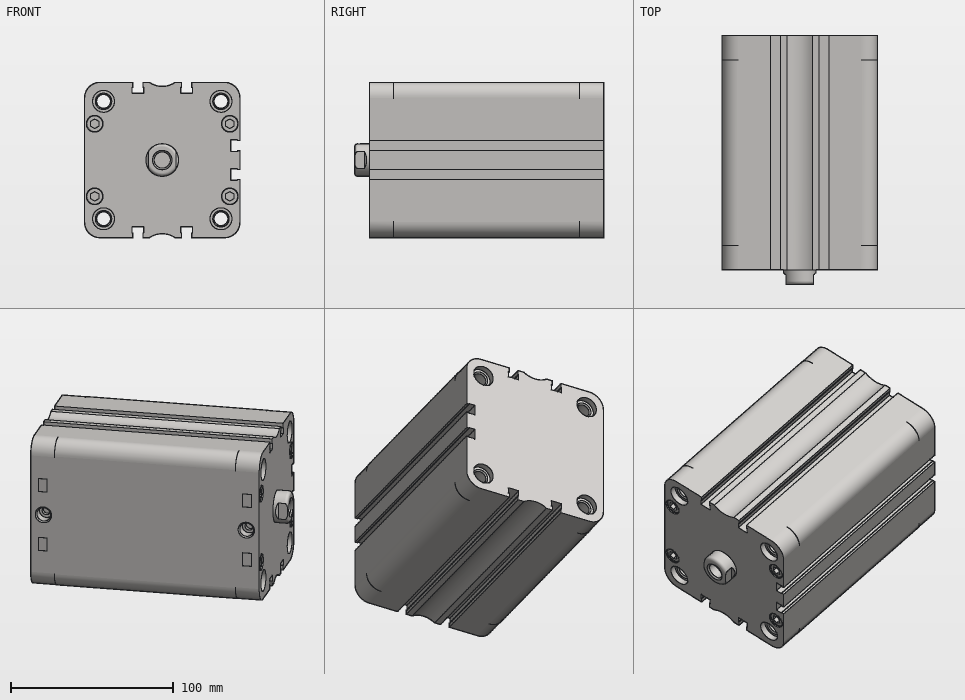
import cadquery as cq
import math


TOTAL_LENGTH = 153
SIDE = 95.5
BODY_LENGTH = 144.0
CAP_LENGTH = 15.0
CAP_CORNER_RADIUS = 10.0
BARREL_CORNER_RADIUS = 9.5
CUT_MARGIN = 1.5

HALF_SIDE = SIDE / 2
FRONT_FACE = TOTAL_LENGTH / 2 - BODY_LENGTH
REAR_FACE = TOTAL_LENGTH / 2
BODY_MIDDLE = (FRONT_FACE + REAR_FACE) / 2

SLOT_NECK_WIDTH = 6.1
SLOT_CHANNEL_WIDTH = 7.0
TOP_SLOT_PITCH = 30.0
TOP_SLOT_DEPTH = 6.7
TOP_SLOT_LIP = 3.0
SIDE_SLOT_PITCH = 17.7
SIDE_SLOT_DEPTH = 5.7
SIDE_SLOT_LIP = 1.7

GROOVE_WIDTH = 15.8
GROOVE_DEPTH = 2.5

MOUNT_PITCH = 72.0
MOUNT_DIAMETER = 8.4
MOUNT_CHAMFER_DIAMETER = 10.1
MOUNT_BORE_DIAMETER = 13.5
MOUNT_BORE_DEPTH = 4.0

SCREW_SPACING_X = 83.0
SCREW_SPACING_Z = 44.5
SCREW_BORE_DIAMETER = 10.3
SCREW_HEAD_DIAMETER = 9.8
SCREW_SINK = 0.8
SCREW_GAP_DEPTH = 1.5
SCREW_HEX_FLATS = 5.0
SCREW_HEX_DEPTH = 3.0

PORT_FROM_END = 8.1
PORT_DIAMETER = 8.5
PORT_RIM_DIAMETER = 10.3
PORT_DEPTH = 7.6
PASSAGE_DIAMETER = 5.0
PASSAGE_DEPTH = 3.0

LABEL_FROM_END = 7.6
LABEL_SPACING_Z = 38.2
LABEL_WIDTH = 5.5
LABEL_HEIGHT = 8.4
LABEL_DEPTH = 0.2

ROD_DIAMETER = 20.0
ROD_TIP_ROUND = 2.0
ROD_HOLE_DIAMETER = 10.0
ROD_HOLE_RIM_DIAMETER = 12.0
ROD_HOLE_DEPTH = 18.4
FLATS_WIDTH = 17.1
FLATS_FROM_BODY = 3.0

ROD_TIP = -TOTAL_LENGTH / 2


def cone_ended_hole(rim_diameter, diameter, depth):
    """Hole along +Z from the origin: a 45 degree rim chamfer, then a plain bore."""
    rim = rim_diameter / 2
    bore = diameter / 2
    profile = [(0, 0), (rim, 0), (bore, rim - bore), (bore, depth), (0, depth)]
    return cq.Workplane("XZ").polyline(profile).close().revolve(360, (0, 0), (0, 1))


def toward_rear(tool, x, y, z):
    """Turn a tool that points along +Z to point along +Y and put it in place."""
    return tool.rotate((0, 0, 0), (1, 0, 0), -90).translate((x, y, z))


def toward_right(tool, y, z):
    """Turn a tool that points along +Z to point along +X, starting at the -X side."""
    return tool.rotate((0, 0, 0), (0, 1, 0), 90).translate((-HALF_SIDE, y, z))


def slot(offset, depth, lip):
    """Full-length T slot in the top face."""
    neck_height = lip + CUT_MARGIN
    neck_middle = HALF_SIDE + CUT_MARGIN - neck_height / 2
    channel_height = depth - lip
    channel_middle = HALF_SIDE - depth + channel_height / 2
    neck = cq.Workplane("XY").box(SLOT_NECK_WIDTH, BODY_LENGTH, neck_height)
    channel = cq.Workplane("XY").box(SLOT_CHANNEL_WIDTH, BODY_LENGTH, channel_height)
    neck = neck.translate((offset, BODY_MIDDLE, neck_middle))
    return neck.union(channel.translate((offset, BODY_MIDDLE, channel_middle)))


def groove():
    """Full-length round groove in the middle of the top face."""
    half_chord = GROOVE_WIDTH / 2
    radius = (half_chord ** 2 + GROOVE_DEPTH ** 2) / (2 * GROOVE_DEPTH)
    center_z = HALF_SIDE - GROOVE_DEPTH + radius
    bar = cq.Workplane("XY").circle(radius).extrude(BODY_LENGTH)
    return toward_rear(bar, 0, FRONT_FACE, center_z)


def rounded_block(length, corner_radius, middle_y):
    """Square block along Y with four rounded corners."""
    block = cq.Workplane("XY").box(SIDE, length, SIDE).edges("|Y").fillet(corner_radius)
    return block.translate((0, middle_y, 0))


def body():
    """Barrel between two end caps with slightly rounder corners, with the slots and grooves cut along it."""
    block = rounded_block(BODY_LENGTH - 2 * CAP_LENGTH, BARREL_CORNER_RADIUS, BODY_MIDDLE)
    for cap_middle in (FRONT_FACE + CAP_LENGTH / 2, REAR_FACE - CAP_LENGTH / 2):
        block = block.union(rounded_block(CAP_LENGTH, CAP_CORNER_RADIUS, cap_middle))
    for turn in (0, 180):
        top_cut = groove()
        for side in (-1, 1):
            top_cut = top_cut.union(slot(side * TOP_SLOT_PITCH / 2, TOP_SLOT_DEPTH, TOP_SLOT_LIP))
        block = block.cut(top_cut.rotate((0, 0, 0), (0, 1, 0), turn))
    for side in (-1, 1):
        side_cut = slot(side * SIDE_SLOT_PITCH / 2, SIDE_SLOT_DEPTH, SIDE_SLOT_LIP)
        block = block.cut(side_cut.rotate((0, 0, 0), (0, 1, 0), 90))
    return block


def mounting_hole():
    """Counterbored through hole, the same at both ends, standing on the origin along +Z."""
    bore = cq.Workplane("XY").circle(MOUNT_BORE_DIAMETER / 2).extrude(MOUNT_BORE_DEPTH)
    half_depth = BODY_LENGTH / 2 - MOUNT_BORE_DEPTH
    hole = cone_ended_hole(MOUNT_CHAMFER_DIAMETER, MOUNT_DIAMETER, half_depth)
    half = bore.union(hole.translate((0, 0, MOUNT_BORE_DEPTH)))
    return half.union(half.mirror("XY", (0, 0, BODY_LENGTH / 2)))


def screw_cut():
    """Space around a sunk cap screw: recess, ring gap around the head and hexagon socket."""
    recess = cq.Workplane("XY").circle(SCREW_BORE_DIAMETER / 2).extrude(SCREW_SINK)
    gap = cq.Workplane("XY").circle(SCREW_BORE_DIAMETER / 2).circle(SCREW_HEAD_DIAMETER / 2)
    gap = gap.extrude(SCREW_GAP_DEPTH)
    hex_corners = SCREW_HEX_FLATS / math.cos(math.pi / 6)
    socket = cq.Workplane("XY").polygon(6, hex_corners).extrude(SCREW_SINK + SCREW_HEX_DEPTH)
    socket = socket.rotate((0, 0, 0), (0, 0, 1), 90)
    return recess.union(gap).union(socket)


def port_cut():
    """Air port with a chamfered rim and a small passage in its floor."""
    port = cone_ended_hole(PORT_RIM_DIAMETER, PORT_DIAMETER, PORT_DEPTH)
    passage = cq.Workplane("XY").circle(PASSAGE_DIAMETER / 2).extrude(PORT_DEPTH + PASSAGE_DEPTH)
    return port.union(passage)


def rod():
    """Rod end outside the body, with a rounded tip and a wrench flat on each X side."""
    reach = FRONT_FACE - ROD_TIP
    bar = cq.Workplane("XY").circle(ROD_DIAMETER / 2).extrude(reach)
    bar = bar.faces("<Z").edges().fillet(ROD_TIP_ROUND)
    flats_end = reach - FLATS_FROM_BODY
    flat = FLATS_WIDTH / 2
    runout = ROD_DIAMETER / 2 + CUT_MARGIN - flat
    profile = [
        (flat, 0),
        (flat, flats_end),
        (flat + runout, flats_end + runout),
        (flat + runout, 0),
    ]
    flat_cut = cq.Workplane("XZ").polyline(profile).close().extrude(ROD_DIAMETER / 2, both=True)
    bar = bar.cut(flat_cut).cut(flat_cut.mirror("YZ"))
    return toward_rear(bar, 0, ROD_TIP, 0)


result = body().union(rod())

rod_hole = cone_ended_hole(ROD_HOLE_RIM_DIAMETER, ROD_HOLE_DIAMETER, ROD_HOLE_DEPTH)
result = result.cut(toward_rear(rod_hole, 0, ROD_TIP, 0))

for x_side in (-1, 1):
    for z_side in (-1, 1):
        mount_place = (x_side * MOUNT_PITCH / 2, FRONT_FACE, z_side * MOUNT_PITCH / 2)
        result = result.cut(toward_rear(mounting_hole(), *mount_place))
        screw_place = (x_side * SCREW_SPACING_X / 2, FRONT_FACE, z_side * SCREW_SPACING_Z / 2)
        result = result.cut(toward_rear(screw_cut(), *screw_place))

for end, inward in ((FRONT_FACE, 1), (REAR_FACE, -1)):
    result = result.cut(toward_right(port_cut(), end + inward * PORT_FROM_END, 0))
    for z_side in (-1, 1):
        label = cq.Workplane("XY").rect(LABEL_HEIGHT, LABEL_WIDTH).extrude(LABEL_DEPTH)
        label_y = end + inward * LABEL_FROM_END
        result = result.cut(toward_right(label, label_y, z_side * LABEL_SPACING_Z / 2))